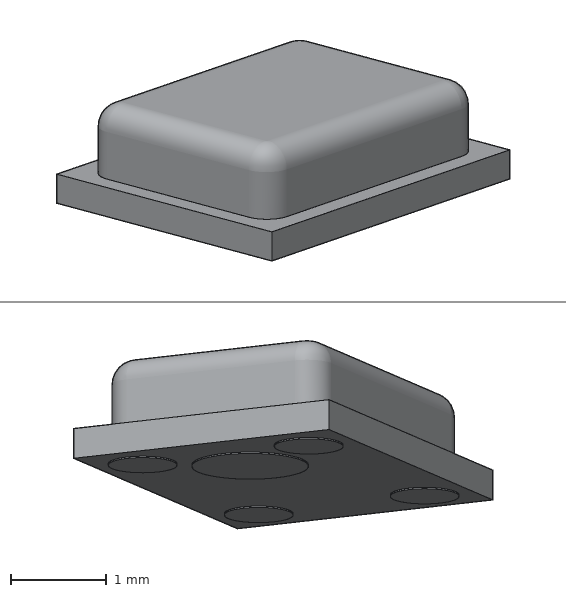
import cadquery as cq

BOARD_WIDTH = 3.0
BOARD_LENGTH = 3.76
BOARD_THICKNESS = 0.32

LID_WIDTH = 2.54
LID_LENGTH = 3.32
LID_CORNER_RADIUS = 0.28
LID_TOP_RADIUS = 0.26

PAD_THICKNESS = 0.015
PAD_DIAMETER = 0.72
PAD_SPACING_X = 1.95
FRONT_PAD_Y = -1.34
BACK_PAD_Y = 1.32
LARGE_PAD_DIAMETER = 1.22
LARGE_PAD_Y = 0.76

TOTAL_HEIGHT = 1.11
LID_HEIGHT = TOTAL_HEIGHT - BOARD_THICKNESS - PAD_THICKNESS
BOARD_TOP = PAD_THICKNESS + BOARD_THICKNESS


def make_board():
    """Flat rectangular board resting on the pads."""
    return (
        cq.Workplane("XY", origin=(0, 0, PAD_THICKNESS))
        .rect(BOARD_WIDTH, BOARD_LENGTH)
        .extrude(BOARD_THICKNESS)
    )


def make_lid():
    """Block with rounded upright corners and a rounded top rim."""
    return (
        cq.Workplane("XY", origin=(0, 0, BOARD_TOP))
        .rect(LID_WIDTH, LID_LENGTH)
        .extrude(LID_HEIGHT)
        .edges("|Z")
        .fillet(LID_CORNER_RADIUS)
        .faces(">Z")
        .edges()
        .fillet(LID_TOP_RADIUS)
    )


def make_corner_pads():
    """Four round pads, one near each corner of the board."""
    centers = [
        (side * PAD_SPACING_X / 2, y)
        for side in (-1, 1)
        for y in (FRONT_PAD_Y, BACK_PAD_Y)
    ]
    return (
        cq.Workplane("XY")
        .pushPoints(centers)
        .circle(PAD_DIAMETER / 2)
        .extrude(PAD_THICKNESS)
    )


def make_large_pad():
    """Single larger round pad on the centreline, just in front of the back pads."""
    return (
        cq.Workplane("XY")
        .center(0, LARGE_PAD_Y)
        .circle(LARGE_PAD_DIAMETER / 2)
        .extrude(PAD_THICKNESS)
    )


result = make_board().union(make_lid()).union(make_corner_pads()).union(make_large_pad())